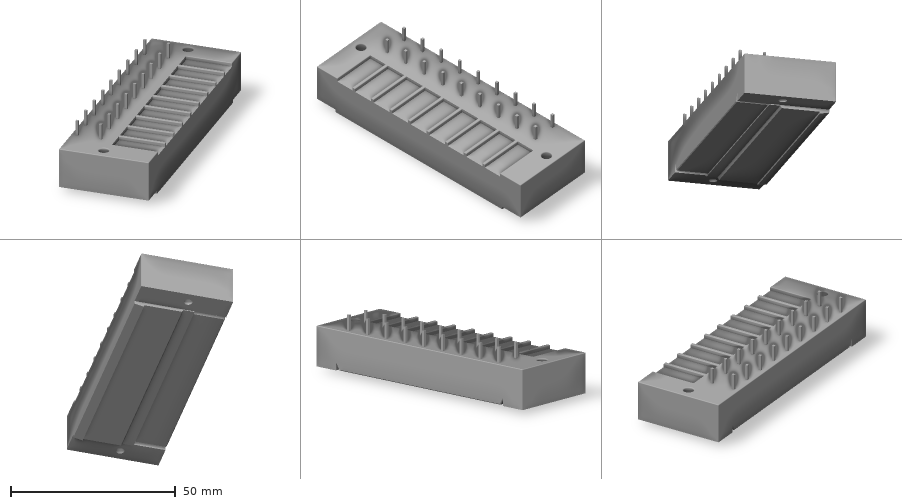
import cadquery as cq

WIDTH = 29.0
LENGTH = 83.8
HEIGHT = 12.7
OVERALL_HEIGHT = 19.3
EDGE_RADIUS = 0.25

PIN_COUNT = 9
PIN_PITCH = 7.6
PIN_ROWS_X = (1.9, 9.55)
PIN_CENTRE_Y = -0.2
PIN_SIDE = 0.8
PIN_HEIGHT = 4.95

POCKET_START_X = 14.2
POCKET_DEPTH = 1.25
POCKET_SPAN = 67.4
RIB_WIDTH = 0.6
POCKET_EDGE_RADIUS = 0.25

HOLE_X = 13.2
HOLE_END_DISTANCE = 3.8
HOLE_DIAMETER = 2.6
BORE_DIAMETER = 3.2
BORE_DEPTH = 4.2
BORE_RIM_RADIUS = 0.3

PLATE_LENGTH = 68.6
PLATE_START_X = 10.1
PLATE_STEP_X = 13.5
PLATE_RAMP = 0.5
PLATE_THIN = 0.25
PLATE_THICK = 1.0
LIP_X = 26.1
LIP_DEPTH = OVERALL_HEIGHT - HEIGHT - PIN_HEIGHT

RECESS_LENGTH = 68.1
RECESS_DEPTH = 0.2
RECESS_PEAK_HEIGHT = 2.2
RECESS_PEAK_WIDTH = 1.3
RECESS_CHAMFER = 0.25

PIN_ROW_LENGTH = PIN_PITCH * (PIN_COUNT - 1)


def make_housing():
    block = cq.Workplane("XY").box(WIDTH, LENGTH, HEIGHT, centered=(False, True, False))
    return block.edges(">Z or (|Z and >X)").fillet(EDGE_RADIUS)


def make_plate():
    """Stepped plate with a pointed lip along its +X edge."""
    profile = [
        (PLATE_START_X, 0),
        (PLATE_START_X, -PLATE_THIN),
        (PLATE_STEP_X, -PLATE_THIN),
        (PLATE_STEP_X + PLATE_RAMP, -PLATE_THICK),
        (LIP_X, -PLATE_THICK),
        (LIP_X, -LIP_DEPTH),
        (WIDTH, -PLATE_THICK),
        (WIDTH, 0),
    ]
    return cq.Workplane("XZ").polyline(profile).close().extrude(PLATE_LENGTH / 2, both=True)


def make_pins():
    pins = cq.Workplane("XY").workplane(offset=HEIGHT)
    points = []
    for x in PIN_ROWS_X:
        for index in range(PIN_COUNT):
            points.append((x, PIN_CENTRE_Y + index * PIN_PITCH - PIN_ROW_LENGTH / 2))
    return pins.pushPoints(points).rect(PIN_SIDE, PIN_SIDE).extrude(PIN_HEIGHT)


def cut_pockets(body):
    """Cut pockets that are open at the +X face and rounded along both side edges."""
    length = WIDTH - POCKET_START_X
    area_end = POCKET_SPAN / 2
    rib_lines = [(index + 0.5) * PIN_PITCH - PIN_ROW_LENGTH / 2 for index in range(PIN_COUNT - 1)]
    starts = [-area_end] + [y + RIB_WIDTH / 2 for y in rib_lines]
    ends = [y - RIB_WIDTH / 2 for y in rib_lines] + [area_end]
    floor = HEIGHT - POCKET_DEPTH
    round_start = HEIGHT - POCKET_EDGE_RADIUS
    for start, end in zip(starts, ends):
        wall_start = start + POCKET_EDGE_RADIUS
        wall_end = end - POCKET_EDGE_RADIUS
        pocket = (
            cq.Workplane("YZ", origin=(POCKET_START_X, 0, 0))
            .moveTo(start, HEIGHT)
            .radiusArc((wall_start, round_start), POCKET_EDGE_RADIUS)
            .lineTo(wall_start, floor)
            .lineTo(wall_end, floor)
            .lineTo(wall_end, round_start)
            .radiusArc((end, HEIGHT), POCKET_EDGE_RADIUS)
            .close()
            .extrude(length)
        )
        body = body.cut(pocket)
    return body


def cut_mounting_holes(body):
    y = LENGTH / 2 - HOLE_END_DISTANCE
    body = (
        body.faces(">Z").workplane(origin=(0, 0, HEIGHT))
        .pushPoints([(HOLE_X, -y), (HOLE_X, y)])
        .cboreHole(HOLE_DIAMETER, BORE_DIAMETER, BORE_DEPTH)
    )
    return body.faces(">Z").edges("%CIRCLE").fillet(BORE_RIM_RADIUS)


def cut_recess(body):
    end = RECESS_LENGTH / 2
    shoulder = end - RECESS_PEAK_WIDTH
    profile = [
        (-end, 0),
        (-end, RECESS_PEAK_HEIGHT),
        (-shoulder, RECESS_DEPTH),
        (shoulder, RECESS_DEPTH),
        (end, RECESS_PEAK_HEIGHT),
        (end, 0),
    ]
    body = body.cut(cq.Workplane("YZ").polyline(profile).close().extrude(PLATE_START_X))
    half_gap = RECESS_CHAMFER / 2
    rim = cq.selectors.BoxSelector(
        (-half_gap, half_gap - end, RECESS_DEPTH / 2),
        (half_gap, end - half_gap, RECESS_PEAK_HEIGHT),
    )
    return body.edges(rim).chamfer(RECESS_CHAMFER)


housing = cut_recess(cut_pockets(make_housing()))
housing = cut_mounting_holes(housing.union(make_plate()))
result = housing.union(make_pins())